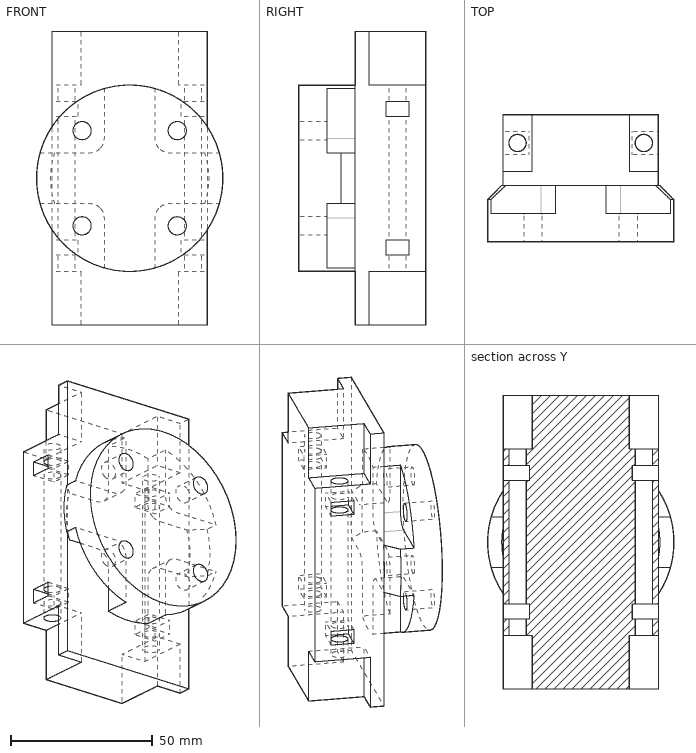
import cadquery as cq

body_height = 104.0
body_width = 55.0
body_depth = 25.1
plate_thickness = 5.0
block_width = 34.4
rail_height = 66.0

flange_diameter = 66.0
flange_thickness = 10.0
spacer_thickness = 10.0
arm_width = 18.0
arm_corner_radius = 5.1
side_arm_chamfer = 5.0
flange_hole_diameter = 6.5
flange_hole_spacing = 33.7

bolt_hole_diameter = 6.0
nut_slot_length = 8.2
nut_slot_height = 5.2
nut_slot_depth = 9.3
nut_slot_spacing = 49.1

rear_depth = body_depth - plate_thickness
rear_center_y = plate_thickness + rear_depth / 2
rail_width = (body_width - block_width) / 2
rail_center_x = (body_width - rail_width) / 2
flange_radius = flange_diameter / 2


def centered_box(width, depth, height, start_y):
    """Box centred on X and Z that extends from start_y toward +Y."""
    return cq.Workplane("XY").box(width, depth, height).translate((0, start_y + depth / 2, 0))


def make_body():
    plate = centered_box(body_width, plate_thickness, body_height, 0)
    block = centered_box(block_width, body_depth, body_height, 0)
    rails = centered_box(body_width, body_depth, rail_height, 0)
    body = plate.union(block).union(rails)
    for side in (-1, 1):
        bolt_hole = (
            cq.Workplane("XY")
            .center(side * rail_center_x, rear_center_y)
            .circle(bolt_hole_diameter / 2)
            .extrude(body_height / 2, both=True)
        )
        body = body.cut(bolt_hole)
        slot_x = side * (body_width - nut_slot_depth) / 2
        for level in (-1, 1):
            slot = cq.Workplane("XY").box(nut_slot_depth, nut_slot_length, nut_slot_height)
            body = body.cut(slot.translate((slot_x, rear_center_y, level * nut_slot_spacing / 2)))
    return body


def make_spacer():
    """Cross with rounded inner corners, trimmed to the flange rim."""
    side_arms = centered_box(flange_diameter, spacer_thickness, arm_width, -spacer_thickness)
    upright_arms = centered_box(arm_width, spacer_thickness, flange_diameter, -spacer_thickness)
    cross = side_arms.union(upright_arms)
    inner = arm_width / 2 + arm_corner_radius / 2
    corner_finder = cq.selectors.BoxSelector(
        (-inner, -spacer_thickness, -inner), (inner, 0, inner)
    )
    cross = cross.edges("|Y").edges(corner_finder).fillet(arm_corner_radius)
    disc = cq.Workplane("XZ").circle(flange_radius).extrude(spacer_thickness)
    relieved_disc = disc.faces(">Y").edges().chamfer(side_arm_chamfer)
    relief = disc.cut(relieved_disc)
    side_relief = relief.intersect(
        centered_box(flange_diameter, spacer_thickness, arm_width, -spacer_thickness)
    )
    return cross.intersect(disc).cut(side_relief)


def make_flange():
    return (
        cq.Workplane("XZ", origin=(0, -spacer_thickness, 0))
        .circle(flange_radius)
        .extrude(flange_thickness)
        .faces("<Y")
        .workplane()
        .rect(flange_hole_spacing, flange_hole_spacing, forConstruction=True)
        .vertices()
        .hole(flange_hole_diameter)
    )


result = make_body().union(make_spacer()).union(make_flange())